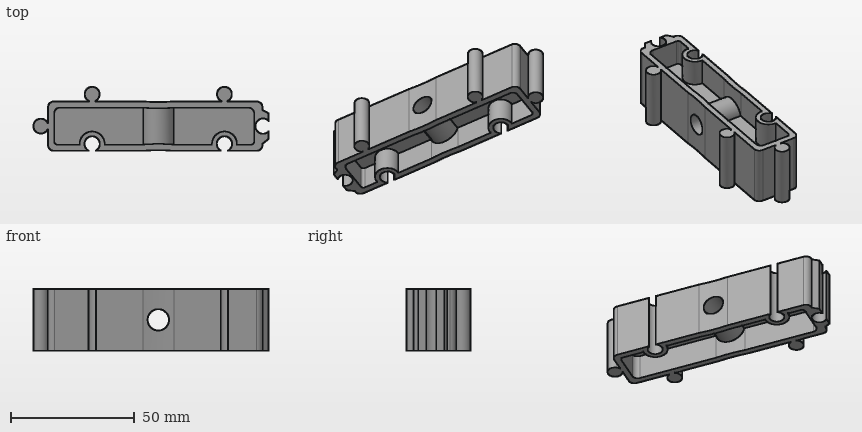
import cadquery as cq

HEIGHT = 25.0
BODY_LEFT = -44.5
BODY_RIGHT = 42.1
BODY_DEPTH = 20.0
CORNER_RADIUS = 2.5

WALL = 2.6
RIGHT_WALL = 3.4
CAVITY_BACK_RADIUS = 2.3
CAVITY_FRONT_RADIUS = 1.2
WEB_THICKNESS = 2.5

PIN_RADIUS = 3.0
PIN_OFFSET = 2.85
NECK_WIDTH = 2.6
MOUTH_BEVEL = 0.3
PIN_PITCH = 53.4
SOCKET_BOSS_RADIUS = 5.0

TAB_REACH = 2.5
TAB_BACK_ROOT = 6.55
TAB_FRONT_ROOT = 7.1
TAB_TIP_WIDTH = 10.35
END_SOCKET_OFFSET = 0.2

TUBE_DIAMETER = 12.5
BORE_DIAMETER = 8.5
DISH_DEPTH = 0.3

HALF_DEPTH = BODY_DEPTH / 2
HALF_CAVITY = HALF_DEPTH - WALL
MID_HEIGHT = HEIGHT / 2
HALF_NECK = NECK_WIDTH / 2
PIN_Y = HALF_DEPTH + PIN_OFFSET
SOCKET_Y = -HALF_DEPTH + PIN_OFFSET
PIN_XS = (-PIN_PITCH / 2, PIN_PITCH / 2)


def box(x_min, x_max, y_min, y_max, z_min=0, z_max=HEIGHT):
    """Axis-aligned block between the given limits."""
    size = (x_max - x_min, y_max - y_min, z_max - z_min)
    return cq.Workplane("XY").box(*size, centered=False).translate((x_min, y_min, z_min))


def post(x, y, radius):
    """Full-height round post."""
    return cq.Workplane("XY").center(x, y).circle(radius).extrude(HEIGHT)


def dished_block(x_min, x_max, half_depth):
    """Block whose long sides bow gently inward across the tube width."""
    half_dish = TUBE_DIAMETER / 2
    return (
        cq.Workplane("XY")
        .moveTo(x_min, -half_depth)
        .lineTo(-half_dish, -half_depth)
        .threePointArc((0, -half_depth + DISH_DEPTH), (half_dish, -half_depth))
        .lineTo(x_max, -half_depth)
        .lineTo(x_max, half_depth)
        .lineTo(half_dish, half_depth)
        .threePointArc((0, half_depth - DISH_DEPTH), (-half_dish, half_depth))
        .lineTo(x_min, half_depth)
        .close()
        .extrude(HEIGHT)
    )


def round_corners(block, x_min, x_max, y, radius):
    """Round the two upright corners at the given Y."""
    for x in (x_min, x_max):
        nearest = cq.selectors.NearestToPointSelector((x, y, MID_HEIGHT))
        block = block.edges(nearest).fillet(radius)
    return block


def make_cavity():
    x_min = BODY_LEFT + WALL
    x_max = BODY_RIGHT - RIGHT_WALL
    cavity = dished_block(x_min, x_max, HALF_CAVITY)
    cavity = round_corners(cavity, x_min, x_max, HALF_CAVITY, CAVITY_BACK_RADIUS)
    return round_corners(cavity, x_min, x_max, -HALF_CAVITY, CAVITY_FRONT_RADIUS)


def make_web():
    bottom = MID_HEIGHT - WEB_THICKNESS / 2
    return box(
        BODY_LEFT + WALL / 2, BODY_RIGHT - RIGHT_WALL / 2,
        -HALF_DEPTH + WALL / 2, HALF_DEPTH - WALL / 2,
        bottom, bottom + WEB_THICKNESS,
    )


def cross_cylinder(diameter, half_length):
    """Cylinder along Y at mid height."""
    return (
        cq.Workplane("XZ", origin=(0, half_length, MID_HEIGHT))
        .circle(diameter / 2)
        .extrude(2 * half_length)
    )


def make_tab():
    tip = BODY_RIGHT + TAB_REACH
    root = BODY_RIGHT - RIGHT_WALL / 2
    return (
        cq.Workplane("XY")
        .polyline([
            (root, -TAB_FRONT_ROOT),
            (BODY_RIGHT, -TAB_FRONT_ROOT),
            (tip, -TAB_TIP_WIDTH / 2),
            (tip, TAB_TIP_WIDTH / 2),
            (BODY_RIGHT, TAB_BACK_ROOT),
            (root, TAB_BACK_ROOT),
        ])
        .close()
        .extrude(HEIGHT)
    )


def make_mouth(x):
    """Socket opening through the front face, beveled at its outer edges."""
    half_mouth = HALF_NECK + MOUTH_BEVEL
    bevel = (
        cq.Workplane("XY")
        .polyline([
            (x - half_mouth, -HALF_DEPTH),
            (x + half_mouth, -HALF_DEPTH),
            (x + HALF_NECK, -HALF_DEPTH + MOUTH_BEVEL),
            (x - HALF_NECK, -HALF_DEPTH + MOUTH_BEVEL),
        ])
        .close()
        .extrude(HEIGHT)
    )
    return box(x - HALF_NECK, x + HALF_NECK, -HALF_DEPTH, SOCKET_Y).union(bevel)


body = dished_block(BODY_LEFT, BODY_RIGHT, HALF_DEPTH)
for corner_y in (-HALF_DEPTH, HALF_DEPTH):
    body = round_corners(body, BODY_LEFT, BODY_RIGHT, corner_y, CORNER_RADIUS)
body = body.cut(make_cavity())

body = body.union(make_web())
body = body.union(cross_cylinder(TUBE_DIAMETER, HALF_DEPTH - WALL / 2))
body = body.union(make_tab())

for x in PIN_XS:
    body = body.union(post(x, PIN_Y, PIN_RADIUS))
    body = body.union(box(x - HALF_NECK, x + HALF_NECK, HALF_DEPTH - WALL / 2, PIN_Y))
    body = body.union(
        post(x, SOCKET_Y, SOCKET_BOSS_RADIUS)
        .intersect(box(x - SOCKET_BOSS_RADIUS, x + SOCKET_BOSS_RADIUS, -HALF_DEPTH, HALF_DEPTH))
    )
    body = body.cut(post(x, SOCKET_Y, PIN_RADIUS))
    body = body.cut(make_mouth(x))

end_pin_x = BODY_LEFT - PIN_OFFSET
body = body.union(post(end_pin_x, 0, PIN_RADIUS))
body = body.union(box(end_pin_x, BODY_LEFT + WALL / 2, -HALF_NECK, HALF_NECK))
body = body.cut(post(BODY_RIGHT + END_SOCKET_OFFSET, 0, PIN_RADIUS))

result = body.cut(cross_cylinder(BORE_DIAMETER, HALF_DEPTH))